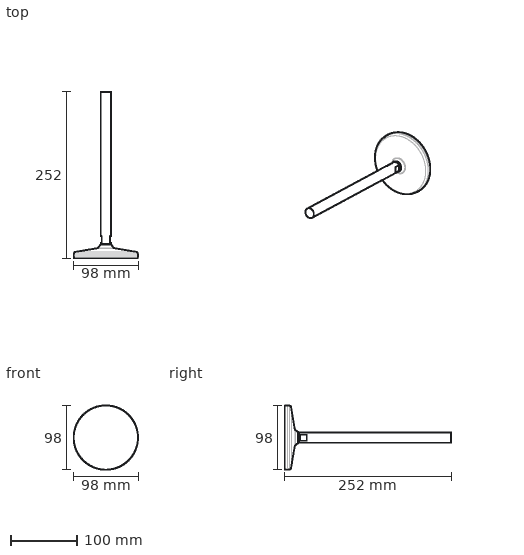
import cadquery as cq
import math


plate_radius = 97.98 / 2
widest_height = 4.0
edge_draft = math.radians(7)
rim_top = 6.9
rim_round = 3.0
slope_angle = math.radians(9.5)

neck_top = 20.7
neck_band_height = 0.6
neck_radius = 8.7
neck_base_radius = 12.2
neck_base_round = 1.5

total_length = 252.0
stem_radius = 16.0 / 2
stem_chamfer = 1.4
flat_length = 10.0
flat_start = 23.7
across_flats = 13.0


def along_y(profile):
    """Revolve a (radius, height) profile around the Y axis."""
    return profile.close().revolve(360, (0, 0, 0), (0, 1, 0))


def make_foot():
    """Plate edge drafted both ways, rounded rim, sloping upper face and conical neck."""
    bottom_radius = plate_radius - widest_height * math.tan(edge_draft)
    rim_top_radius = plate_radius - (rim_top - widest_height) * math.tan(edge_draft)
    round_centre = rim_top_radius - rim_round

    def on_rim_round(angle):
        return (
            round_centre + rim_round * math.cos(angle),
            rim_top + rim_round * math.sin(angle),
        )

    slope_start_angle = math.pi / 2 - slope_angle
    slope_start = on_rim_round(slope_start_angle)
    slope_run = slope_start[0] - neck_base_radius
    neck_base_height = slope_start[1] + slope_run * math.tan(slope_angle)

    profile = (
        cq.Workplane("XY")
        .moveTo(0, 0)
        .lineTo(bottom_radius, 0)
        .lineTo(plate_radius, widest_height)
        .lineTo(rim_top_radius, rim_top)
        .threePointArc(on_rim_round(slope_start_angle / 2), slope_start)
        .lineTo(neck_base_radius, neck_base_height)
        .lineTo(neck_radius, neck_top - neck_band_height)
        .lineTo(neck_radius, neck_top)
        .lineTo(0, neck_top)
    )
    pick_margin = 0.01
    neck_base_edge = cq.selectors.BoxSelector(
        (-plate_radius, neck_base_height - pick_margin, -plate_radius),
        (plate_radius, neck_base_height + pick_margin, plate_radius),
    )
    return along_y(profile).edges(neck_base_edge).fillet(neck_base_round)


def make_stem():
    """Round bar with a chamfered lower end and two wrench flats facing -X and +X."""
    bar = along_y(
        cq.Workplane("XY")
        .moveTo(0, neck_top)
        .lineTo(stem_radius - stem_chamfer, neck_top)
        .lineTo(stem_radius, neck_top + stem_chamfer)
        .lineTo(stem_radius, total_length)
        .lineTo(0, total_length)
    )
    cut_depth = stem_radius - across_flats / 2
    for side in (-1, 1):
        flat_cut = cq.Workplane("XY").box(cut_depth, flat_length, 2 * stem_radius).translate(
            (side * (across_flats + cut_depth) / 2, flat_start + flat_length / 2, 0)
        )
        bar = bar.cut(flat_cut)
    return bar


foot = make_foot()
stem = make_stem()

result = cq.Compound.makeCompound([foot.val(), stem.val()])